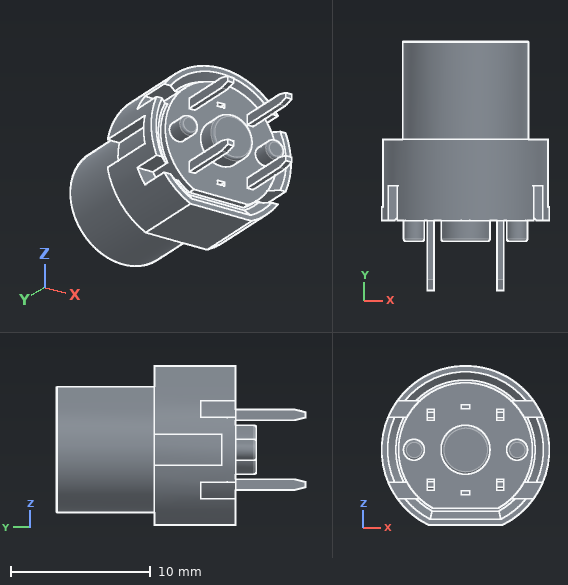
import cadquery as cq
import math


overall_length = 17.8

housing_radius = 6.0
housing_flat = 5.4
housing_length = 5.8

rim_width = 0.43
groove_slope_width = 0.59
groove_depth = 0.6
core_inset = 1.21

button_diameter = 9.0
button_length = 7.0
button_chamfer = 0.05

notch_inner_z = 2.31
notch_outer_z = 3.49
notch_depth = 2.5
side_slot_height = 2.2
side_slot_floor_radius = 5.0
side_slot_start = 0.98

center_peg_diameter = 3.5
side_peg_diameter = 1.5
side_peg_offset = 3.68
peg_length = 1.5
peg_fillet = 0.2

pin_offset = 2.5
pin_width = 0.5
pin_height = 0.8
pin_length = overall_length - housing_length - button_length
pin_tip_length = 0.82
pin_tip_height = 0.4

pocket_width = 0.62
pocket_height = 0.28
pocket_offset = 3.08
pocket_depth = 0.53


def plane_at(y):
    """XZ plane at the given Y, with its normal towards +Y and local Y along -Z."""
    return cq.Workplane(cq.Plane(origin=(0, y, 0), xDir=(1, 0, 0), normal=(0, 1, 0)))


def flatted_outline(workplane, inset):
    """Circle closed by the lower flat, moved inwards from the housing outline."""
    radius = housing_radius - inset
    flat = housing_flat - inset
    half_chord = math.sqrt(radius**2 - flat**2)
    return (
        workplane.moveTo(-half_chord, flat)
        .threePointArc((0, -radius), (half_chord, flat))
        .close()
    )


def flatted_prism(inset, start, length):
    return flatted_outline(plane_at(start), inset).extrude(length)


def make_core(length):
    return flatted_prism(core_inset, 0, length)


def make_groove():
    outer = flatted_outline(plane_at(0), rim_width)
    sloped = flatted_outline(
        outer.workplane(offset=groove_depth), rim_width + groove_slope_width
    ).loft(ruled=True)
    return sloped.cut(make_core(groove_depth))


def make_notches():
    """Two bands across the housing that leave the core standing."""
    height = notch_outer_z - notch_inner_z
    center_z = (notch_inner_z + notch_outer_z) / 2
    bands = (
        plane_at(0)
        .pushPoints([(0, center_z), (0, -center_z)])
        .rect(2 * housing_radius, height)
        .extrude(notch_depth)
    )
    return bands.cut(make_core(notch_depth))


def make_side_slots():
    """Slots on the +X and -X sides, open at the button end."""
    length = housing_length - side_slot_start
    band = plane_at(side_slot_start).rect(2 * housing_radius, side_slot_height).extrude(length)
    return band.cut(plane_at(side_slot_start).circle(side_slot_floor_radius).extrude(length))


def make_button():
    button = plane_at(housing_length).circle(button_diameter / 2).extrude(button_length)
    return button.faces(">Y").chamfer(button_chamfer)


def make_peg(x, diameter):
    peg = plane_at(0).center(x, 0).circle(diameter / 2).extrude(-peg_length)
    return peg.faces("<Y").edges().fillet(peg_fillet)


def make_pin(x, z):
    """Flat pin that narrows in Z at its tip."""
    half_height = pin_height / 2
    half_tip = pin_tip_height / 2
    shoulder = pin_tip_length - pin_length
    profile = [
        (0, z - half_height),
        (shoulder, z - half_height),
        (-pin_length, z - half_tip),
        (-pin_length, z + half_tip),
        (shoulder, z + half_height),
        (0, z + half_height),
    ]
    return (
        cq.Workplane("YZ", origin=(x, 0, 0))
        .polyline(profile)
        .close()
        .extrude(pin_width / 2, both=True)
    )


def make_pockets():
    return (
        plane_at(0)
        .pushPoints([(0, pocket_offset), (0, -pocket_offset)])
        .rect(pocket_width, pocket_height)
        .extrude(pocket_depth)
    )


housing = flatted_prism(0, 0, housing_length)
housing = housing.cut(make_groove()).cut(make_notches())
housing = housing.cut(make_side_slots()).cut(make_pockets())

result = housing.union(make_button())
result = result.union(make_peg(0, center_peg_diameter))
for side in (-1, 1):
    result = result.union(make_peg(side * side_peg_offset, side_peg_diameter))
    for level in (-1, 1):
        result = result.union(make_pin(side * pin_offset, level * pin_offset))